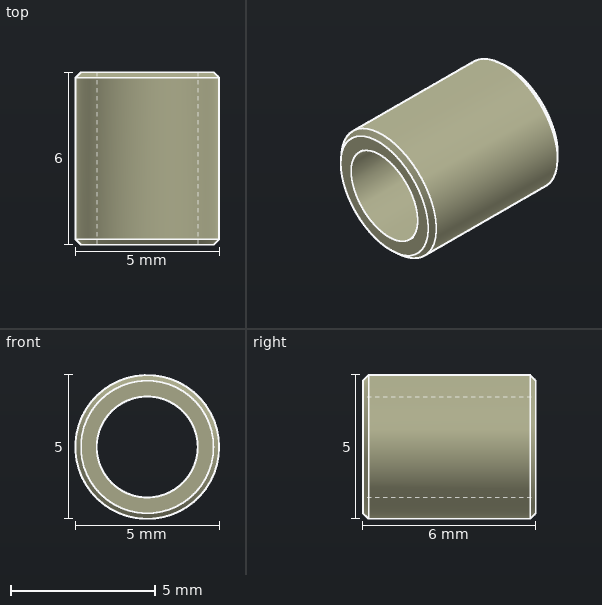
import cadquery as cq

length = 6.0
outer_diameter = 5.0
bore_diameter = 3.5
chamfer_size = 0.2

end_plane = cq.Workplane("XZ", origin=(0, length / 2, 0))

sleeve = end_plane.circle(outer_diameter / 2).extrude(length)
sleeve = sleeve.faces("<Y or >Y").edges().chamfer(chamfer_size)

bore = end_plane.circle(bore_diameter / 2).extrude(length)

result = sleeve.cut(bore)